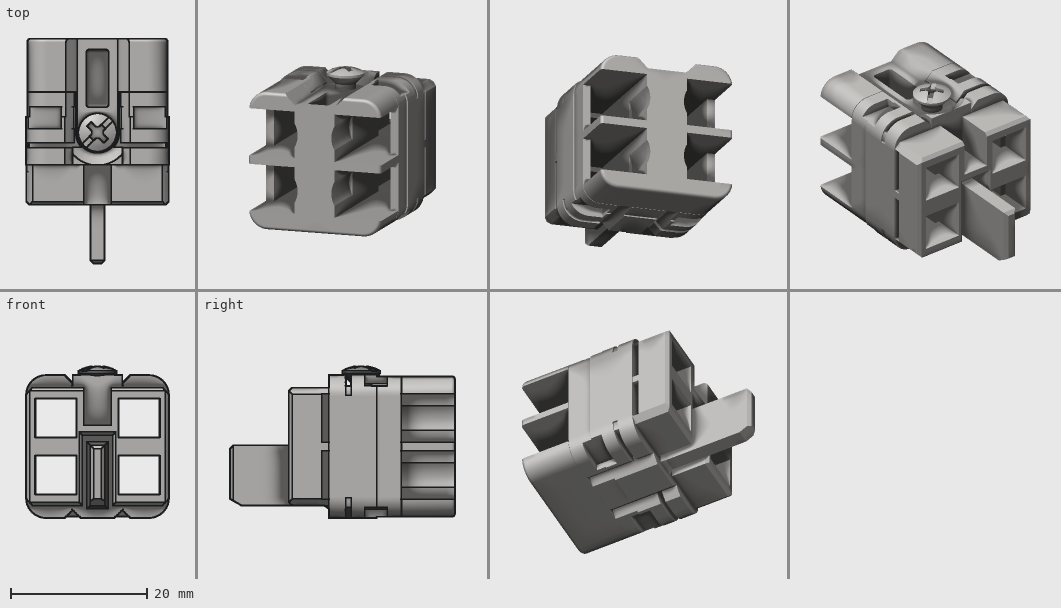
import cadquery as cq
import math


SLEEVE_HALF = 10.5
REAR_HALF = 10.3
CORNER_CENTRE = 7.5
SLEEVE_RADIUS = SLEEVE_HALF - CORNER_CENTRE
REAR_RADIUS = REAR_HALF - CORNER_CENTRE
STEP_Y = 7.0
SLEEVE_END = 10.6
BACK_Y = 18.48
BACK_FILLET = 0.5

BLOCK_LENGTH = 5.9
BLOCK_HALF_WIDTH = 10.45
BLOCK_HALF_HEIGHT = 8.65
BLOCK_SIDE_CHAMFER = 0.95
FRONT_CHAMFER = 0.5
UPPER_SLOT_HALF = 2.05
UPPER_SLOT_FLOOR = 3.15
LOWER_SLOT_HALF = 2.2
LOWER_SLOT_ROOF = 1.65

WEB_HALF = 3.1
MID_PLATE_HALF = 0.6
WINDOW_WIDTH = 6.1
WINDOW_HEIGHT = 5.68
CHAMBER_HEIGHT = 7.15
CHAMBER_X = WEB_HALF + WINDOW_WIDTH / 2
CHAMBER_Z = MID_PLATE_HALF + CHAMBER_HEIGHT / 2
SLEEVE_INNER = 9.08
SIDE_OPENING = 1.05
BORE_CHORD = 3.55

CHANNEL_FLOOR = 8.68
CHANNEL_SLOPE_SHIFT = 5.68
SHELF_Z = 8.88
CHANNEL_HALF = 3.4
FRONT_CHANNEL_HALF = 3.73
SEAT_HALF = 3.63
SEAT_LENGTH = 2.55
SCREW_Y = 4.72
SEAM_WIDTH = 0.1
SEAM_DEPTH = 0.1

SLOT_START = 2.45
SLOT_END = 3.25
SLOT_CORE_HALF = 10.23
SLOT_CORE_RADIUS = 2.45
NOTCH_START = 5.25
NOTCH_END = 8.5
NOTCH_INNER = 5.28
SLIT_TOP = 9.17
V_INNER = 2.45
V_OUTER = 4.82
V_DEEPEST_X = 3.73

POCKET_WIDTH = 3.33
POCKET_START = 8.4
POCKET_END = 16.9
POCKET_DEPTH = 4.95
POCKET_FILLET = 0.5

BLADE_TIP = -14.52
BLADE_HALF = 1.05
BLADE_TOP = 0.2
BLADE_BOTTOM = -8.65
BLADE_TIP_CHAMFER = 0.5
BLADE_LEAD_HEIGHT = 0.95
BLADE_LEAD_LENGTH = 1.68
SKIRT_WIDTH = 0.5
SKIRT_LENGTH = 0.73

HEAD_RADIUS = 2.8
HEAD_RIM_BOTTOM = 10.72
HEAD_RIM_TOP = 11.1
HEAD_TOP = 11.85
SHANK_RADIUS = 1.55
SHANK_EMBED = 0.65
DRIVE_SLOT_WIDTH = 0.82
DRIVE_SLOT_FLOOR = 11.05
CROSS_LENGTH = 3.5
CROSS_SHORT_LENGTH = 2.48
CROSS_WIDTH = 0.85
CROSS_FILLET = 0.53
CROSS_FLOOR = 10.4

SIDES = (-1, 1)


def block(x0, x1, y0, y1, z0, z1):
    """Axis-aligned box between two opposite corners."""
    centre = ((x0 + x1) / 2, (y0 + y1) / 2, (z0 + z1) / 2)
    return cq.Workplane("XY").box(abs(x1 - x0), abs(y1 - y0), abs(z1 - z0)).translate(centre)


def along_y(points, y0, y1):
    """Prism with an XZ outline between two Y positions."""
    return cq.Workplane("XZ", origin=(0, y0, 0)).polyline(points).close().extrude(y0 - y1)


def rounded_square(half, radius, y0, y1):
    """Square bar along Y with rounded long edges."""
    return block(-half, half, y0, y1, -half, half).edges("|Y").fillet(radius)


def front_block():
    base = block(-BLOCK_HALF_WIDTH, BLOCK_HALF_WIDTH, -BLOCK_LENGTH, 0, -BLOCK_HALF_HEIGHT, BLOCK_HALF_HEIGHT)
    side_chamfers = base.edges("|Y").chamfer(BLOCK_SIDE_CHAMFER)
    base = base.faces("<Y").edges().chamfer(FRONT_CHAMFER).intersect(side_chamfers)
    upper_slot = block(-UPPER_SLOT_HALF, UPPER_SLOT_HALF, -BLOCK_LENGTH, 0, UPPER_SLOT_FLOOR, SLEEVE_HALF)
    lower_slot = block(-LOWER_SLOT_HALF, LOWER_SLOT_HALF, -BLOCK_LENGTH, 0, -SLEEVE_HALF, LOWER_SLOT_ROOF)
    mouth_half = LOWER_SLOT_HALF + FRONT_CHAMFER
    mouth_roof = LOWER_SLOT_ROOF + FRONT_CHAMFER
    mouth = (
        cq.Workplane("XZ", origin=(0, -BLOCK_LENGTH, 0))
        .center(0, (mouth_roof - SLEEVE_HALF) / 2)
        .rect(2 * mouth_half, mouth_roof + SLEEVE_HALF)
        .extrude(-FRONT_CHAMFER, taper=45)
    )
    return base.cut(upper_slot).cut(lower_slot).cut(mouth)


def chambers():
    """Window, inner chamber and grooved web side for all four contacts."""
    bore_radius = math.hypot(WINDOW_WIDTH / 2, BORE_CHORD / 2)
    cutter = cq.Workplane("XY")
    for side in SIDES:
        for z in (-CHAMBER_Z, CHAMBER_Z):
            window_z = (z - WINDOW_HEIGHT / 2, z + WINDOW_HEIGHT / 2)
            chamber_z = (z - CHAMBER_HEIGHT / 2, z + CHAMBER_HEIGHT / 2)
            window = block(side * WEB_HALF, side * (WEB_HALF + WINDOW_WIDTH),
                           -BLOCK_LENGTH, -SIDE_OPENING, *window_z)
            chamber = block(side * WEB_HALF, side * SLEEVE_INNER, -SIDE_OPENING, BACK_Y, *chamber_z)
            side_gap = block(side * WEB_HALF, side * SLEEVE_HALF, -SIDE_OPENING, 0, *chamber_z)
            rear_gap = block(side * WEB_HALF, side * SLEEVE_HALF, SLEEVE_END, BACK_Y, *chamber_z)
            bore = (
                cq.Workplane("XZ", origin=(side * CHAMBER_X, SLEEVE_END, z))
                .circle(bore_radius)
                .extrude(SLEEVE_END - BACK_Y)
            )
            web_side = block(0, side * CHAMBER_X, SLEEVE_END, BACK_Y, *chamber_z)
            cutter = cutter.add(window).add(chamber).add(side_gap).add(rear_gap).add(bore.intersect(web_side))
    return cutter.combine()


def flare_half(z):
    """Half width of the flared channel at height z."""
    return z - CHANNEL_SLOPE_SHIFT


def flared_prism(floor_z, y0, y1):
    """Flared channel section from a given floor height up to the sleeve top."""
    low = flare_half(floor_z)
    high = flare_half(SLEEVE_HALF)
    return along_y([(-low, floor_z), (low, floor_z), (high, SLEEVE_HALF), (-high, SLEEVE_HALF)], y0, y1)


def top_channel():
    """Flared channel along the top, with ledges and upright walls inside the sleeve."""
    shallow = flared_prism(SHELF_Z, 0, SCREW_Y)
    deep = flared_prism(CHANNEL_FLOOR, SCREW_Y, BACK_Y)
    walls = block(-CHANNEL_HALF, CHANNEL_HALF, 0, SLEEVE_END, SHELF_Z, SLEEVE_HALF)
    front = block(-FRONT_CHANNEL_HALF, FRONT_CHANNEL_HALF, 0, SLOT_END, SHELF_Z, SLEEVE_HALF)
    return shallow.union(deep).union(walls).union(front)


def screw_seat_block():
    """Block that closes the front of the channel."""
    return block(-SEAT_HALF, SEAT_HALF, 0, SEAT_LENGTH, SHELF_Z, SLEEVE_HALF)


def screw_seat_cone():
    """Conical hollow around the screw, the channel profile turned about the screw axis."""
    return (
        cq.Workplane("XZ")
        .polyline([(0, CHANNEL_FLOOR), (flare_half(CHANNEL_FLOOR), CHANNEL_FLOOR),
                   (flare_half(SLEEVE_HALF), SLEEVE_HALF), (0, SLEEVE_HALF)])
        .close()
        .revolve(360, (0, 0), (0, 1))
        .translate((0, SCREW_Y, 0))
    )


def seam():
    """Shallow groove around the rear section and along the channel flanks, just behind the sleeve."""
    seam_end = SLEEVE_END + SEAM_WIDTH
    ring = rounded_square(SLEEVE_HALF, SLEEVE_RADIUS, SLEEVE_END, seam_end)
    groove = ring.cut(rounded_square(REAR_HALF - SEAM_DEPTH, REAR_RADIUS - SEAM_DEPTH, SLEEVE_END, seam_end))
    flank = flared_prism(SHELF_Z, SLEEVE_END, seam_end)
    for side in SIDES:
        groove = groove.union(flank.translate((side * SEAM_DEPTH, 0, 0)))
    return groove


def sleeve_cuts():
    """Cross slots, latch notches and the slits from the notches to the centre."""
    core = rounded_square(SLOT_CORE_HALF, SLOT_CORE_RADIUS, SLOT_START, SLOT_END)
    cutter = cq.Workplane("XY")
    for side in SIDES:
        for up in SIDES:
            slot = block(side * V_DEEPEST_X, side * SLEEVE_HALF, SLOT_START, SLOT_END,
                         up * SHELF_Z, up * SLEEVE_HALF)
            corner = block(side * CORNER_CENTRE, side * SLEEVE_HALF, SLOT_START, SLOT_END,
                           up * CORNER_CENTRE, up * SLEEVE_HALF).cut(core)
            notch = block(side * NOTCH_INNER, side * SLEEVE_HALF, NOTCH_START, NOTCH_END,
                          up * SHELF_Z, up * SLEEVE_HALF)
            slit = block(side * CHANNEL_HALF, side * NOTCH_INNER, NOTCH_START, NOTCH_END,
                         up * SHELF_Z, up * SLIT_TOP)
            cutter = cutter.add(slot).add(corner).add(notch).add(slit)
    key_base = V_INNER + SLEEVE_HALF - SHELF_Z
    key = along_y(
        [(-V_INNER, -SLEEVE_HALF), (-key_base, -SHELF_Z), (key_base, -SHELF_Z), (V_INNER, -SLEEVE_HALF)],
        0, SLEEVE_END,
    )
    cutter = cutter.combine().cut(key)
    for side in SIDES:
        v_groove = along_y(
            [(side * V_INNER, -SLEEVE_HALF),
             (side * V_DEEPEST_X, V_DEEPEST_X - V_INNER - SLEEVE_HALF),
             (side * V_DEEPEST_X, V_OUTER - V_DEEPEST_X - SLEEVE_HALF),
             (side * V_OUTER, -SLEEVE_HALF)],
            0, SLEEVE_END,
        )
        cutter = cutter.union(v_groove)
    return cutter


def channel_pocket():
    pocket = block(-POCKET_WIDTH / 2, POCKET_WIDTH / 2, POCKET_START, POCKET_END,
                   CHANNEL_FLOOR - POCKET_DEPTH, CHANNEL_FLOOR)
    return pocket.edges("|Z or <Z").fillet(POCKET_FILLET)


def blade():
    lead_z = BLADE_BOTTOM + BLADE_LEAD_HEIGHT
    outline = [
        (0, BLADE_TOP),
        (BLADE_TIP + BLADE_TIP_CHAMFER, BLADE_TOP),
        (BLADE_TIP, BLADE_TOP - BLADE_TIP_CHAMFER),
        (BLADE_TIP, lead_z),
        (BLADE_TIP + BLADE_LEAD_LENGTH, BLADE_BOTTOM),
        (0, BLADE_BOTTOM),
    ]
    body = cq.Workplane("YZ").polyline(outline).close().extrude(BLADE_HALF, both=True)
    tip_y = BLADE_TIP + BLADE_TIP_CHAMFER
    tip_half = BLADE_HALF - BLADE_TIP_CHAMFER
    plan = (
        cq.Workplane("XY", origin=(0, 0, BLADE_BOTTOM))
        .polyline([(-BLADE_HALF, 0), (-BLADE_HALF, tip_y), (-tip_half, BLADE_TIP),
                   (tip_half, BLADE_TIP), (BLADE_HALF, tip_y), (BLADE_HALF, 0)])
        .close()
        .extrude(BLADE_TOP - BLADE_BOTTOM)
    )
    middle_z = (BLADE_TOP + BLADE_BOTTOM) / 2
    height = BLADE_TOP - BLADE_BOTTOM
    skirt = (
        cq.Workplane("XZ", origin=(0, 0, middle_z))
        .rect(2 * (BLADE_HALF + SKIRT_WIDTH), height + 2 * SKIRT_WIDTH)
        .workplane(offset=SKIRT_LENGTH)
        .rect(2 * BLADE_HALF, height)
        .loft(ruled=True)
    )
    return body.intersect(plan).union(skirt)


def screw():
    """Raised countersunk screw with a cross recess and a shallow slot, both turned 45 degrees."""
    neck_z = HEAD_RIM_BOTTOM - (HEAD_RADIUS - SHANK_RADIUS)
    dome_rise = HEAD_TOP - HEAD_RIM_TOP
    dome_radius = (HEAD_RADIUS**2 + dome_rise**2) / (2 * dome_rise)
    mid_x = HEAD_RADIUS / 2
    mid_z = HEAD_TOP - dome_radius + math.sqrt(dome_radius**2 - mid_x**2)
    body = (
        cq.Workplane("XZ")
        .moveTo(0, CHANNEL_FLOOR - SHANK_EMBED)
        .lineTo(SHANK_RADIUS, CHANNEL_FLOOR - SHANK_EMBED)
        .lineTo(SHANK_RADIUS, neck_z)
        .lineTo(HEAD_RADIUS, HEAD_RIM_BOTTOM)
        .lineTo(HEAD_RADIUS, HEAD_RIM_TOP)
        .threePointArc((mid_x, mid_z), (0, HEAD_TOP))
        .close()
        .revolve(360, (0, 0), (0, 1))
    )
    half_width = CROSS_WIDTH / 2
    half_long = CROSS_LENGTH / 2
    half_short = CROSS_SHORT_LENGTH / 2
    long_arm = block(-half_width, half_width, -half_long, half_long, CROSS_FLOOR, HEAD_TOP)
    short_arm = block(-half_short, half_short, -half_width, half_width, CROSS_FLOOR, HEAD_TOP)
    cross = long_arm.union(short_arm)
    inner_corners = cq.selectors.BoxSelector(
        (-CROSS_WIDTH, -CROSS_WIDTH, CROSS_FLOOR), (CROSS_WIDTH, CROSS_WIDTH, HEAD_TOP)
    )
    cross = cross.edges("|Z").edges(inner_corners).fillet(CROSS_FILLET)
    slot = block(-HEAD_RADIUS, HEAD_RADIUS, -DRIVE_SLOT_WIDTH / 2, DRIVE_SLOT_WIDTH / 2,
                 DRIVE_SLOT_FLOOR, HEAD_TOP)
    body = body.cut(cross).cut(slot)
    return body.rotate((0, 0, 0), (0, 0, 1), 45).translate((0, SCREW_Y, 0))


sleeve = rounded_square(SLEEVE_HALF, SLEEVE_RADIUS, 0, STEP_Y)
rear = rounded_square(REAR_HALF, REAR_RADIUS, STEP_Y, BACK_Y).faces(">Y").edges().fillet(BACK_FILLET)

result = sleeve.union(rear).union(front_block())
result = result.cut(sleeve_cuts()).cut(top_channel()).cut(chambers()).cut(seam()).cut(channel_pocket())
result = result.union(screw_seat_block()).cut(screw_seat_cone())
result = result.union(blade()).union(screw())